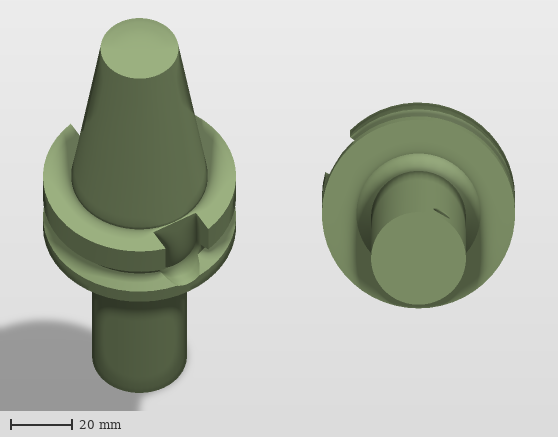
import cadquery as cq
import math

total_height = 159.4

gauge_diameter = 44.5
taper_length = 65.4
taper_ratio = 7 / 24
neck_height = 1.0

flange_diameter = 63.0
groove_diameter = 52.6
upper_rim_height = 10.5
groove_floor_height = 4.3
lower_rim_height = 5.3
groove_flank_angle = 30.0

body_diameter = 31.0
cone_height = 4.8

slot_width = 16.1
slot_depth = 22.0
slot_floor_distance = 22.5

screw_diameter = 6.2
screw_height = 8.3
screw_depth = 6.4

gauge_radius = gauge_diameter / 2
flange_radius = flange_diameter / 2
groove_radius = groove_diameter / 2
body_radius = body_diameter / 2
tip_radius = gauge_radius - taper_length * taper_ratio / 2
flank_height = (flange_radius - groove_radius) * math.tan(math.radians(groove_flank_angle))

gauge_z = total_height - taper_length
flange_top_z = gauge_z - neck_height
upper_rim_z = flange_top_z - upper_rim_height
groove_top_z = upper_rim_z - flank_height
groove_bottom_z = groove_top_z - groove_floor_height
lower_rim_z = groove_bottom_z - flank_height
flange_bottom_z = lower_rim_z - lower_rim_height
cone_bottom_z = flange_bottom_z - cone_height


def make_holder():
    """Revolve the half outline (radius, height) about Z."""
    outline = [
        (0, 0),
        (body_radius, 0),
        (body_radius, cone_bottom_z),
        (body_radius + cone_height, flange_bottom_z),
        (flange_radius, flange_bottom_z),
        (flange_radius, lower_rim_z),
        (groove_radius, groove_bottom_z),
        (groove_radius, groove_top_z),
        (flange_radius, upper_rim_z),
        (flange_radius, flange_top_z),
        (gauge_radius, flange_top_z),
        (gauge_radius, gauge_z),
        (tip_radius, total_height),
        (0, total_height),
    ]
    return cq.Workplane("XZ").polyline(outline).close().revolve(360, (0, 0), (0, 1))


def make_drive_slot():
    """Round-bottomed slot cutter on the +X side, open outward and upward."""
    half_width = slot_width / 2
    slot_bottom_z = flange_top_z - slot_depth
    arc_center_z = slot_bottom_z + half_width
    return (
        cq.Workplane("YZ", origin=(slot_floor_distance, 0, 0))
        .moveTo(-half_width, gauge_z)
        .lineTo(-half_width, arc_center_z)
        .threePointArc((0, slot_bottom_z), (half_width, arc_center_z))
        .lineTo(half_width, gauge_z)
        .close()
        .extrude(flange_radius)
    )


def make_screw_hole():
    """Blind radial hole entering the body from +Y."""
    hole_floor_y = body_radius - screw_depth
    return (
        cq.Workplane("XZ", origin=(0, hole_floor_y, screw_height))
        .circle(screw_diameter / 2)
        .extrude(-body_radius)
    )


result = make_holder()
for side_angle in (0, 180):
    result = result.cut(make_drive_slot().rotate((0, 0, 0), (0, 0, 1), side_angle))
result = result.cut(make_screw_hole())